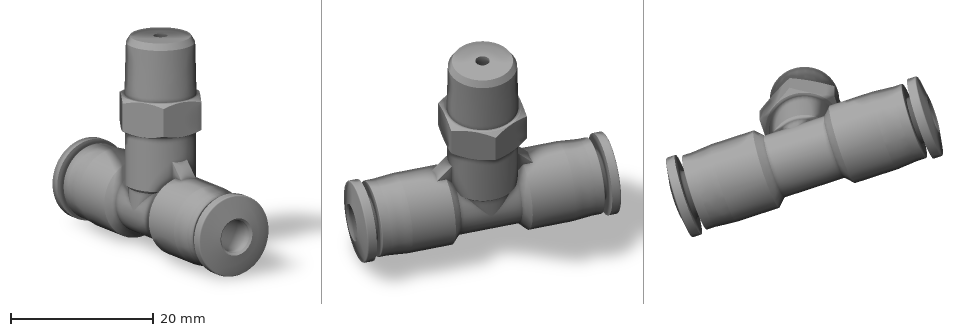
import cadquery as cq
import math


half_length = 19.2
flange_rim_x = 18.6
flange_back_x = 17.28
body_end_x = 16.35
taper_start_x = 15.0
taper_end_x = 12.0
shoulder_x = 5.65

flange_radius = 11.8 / 2
neck_radius = 6.75 / 2
body_end_radius = 11.0 / 2
body_radius = 11.5 / 2
waist_radius = 4.57
flange_rim_fillet = 0.2
neck_fillet = 0.35
body_end_fillet = 0.1

tube_bore_radius = 4.75 / 2
mouth_chamfer = 0.3
tube_bore_depth = 7.68
passage_radius = 2.0 / 2

stem_radius = 10.0 / 2
stem_bottom_z = 3.5
hex_bottom_z = 11.45
hex_top_z = 16.55
branch_top_z = 25.0
hex_across_corners = 12.83
hex_chamfer_radius = 5.5
hex_chamfer_angle = 30.0
thread_root_radius = 5.05
thread_tip_radius = 4.88
thread_top_radius = 4.3
thread_chamfer_height = 0.92

gusset_width = 2.45
gusset_corner = 12.67


def revolve_about_x(profile):
    return profile.close().revolve(360, (0, 0, 0), (1, 0, 0))


def revolve_about_z(profile):
    return profile.close().revolve(360, (0, 0, 0), (0, 1, 0))


def mirrored_in_x(half):
    return half.union(half.mirror("YZ"))


def run_half():
    """Solid of the +X half of the run, with its body, neck and release collar."""
    mouth_radius = tube_bore_radius + mouth_chamfer
    waist_end_x = shoulder_x - (body_radius - waist_radius)
    diagonal = math.sqrt(0.5)
    fillet_mid = neck_fillet * (1 - diagonal)
    end_mid = body_end_fillet * (1 - diagonal)
    outline = (
        cq.Workplane("XZ")
        .lineTo(0, waist_radius)
        .lineTo(waist_end_x, waist_radius)
        .lineTo(shoulder_x, body_radius)
        .lineTo(taper_end_x, body_radius)
        .lineTo(taper_start_x, body_end_radius)
        .lineTo(body_end_x - body_end_fillet, body_end_radius)
        .threePointArc(
            (body_end_x - end_mid, body_end_radius - end_mid),
            (body_end_x, body_end_radius - body_end_fillet),
        )
        .lineTo(body_end_x, neck_radius)
        .lineTo(flange_back_x - neck_fillet, neck_radius)
        .threePointArc(
            (flange_back_x - fillet_mid, neck_radius + fillet_mid),
            (flange_back_x, neck_radius + neck_fillet),
        )
        .lineTo(flange_back_x, flange_radius)
        .lineTo(flange_rim_x, flange_radius)
        .lineTo(half_length, mouth_radius)
        .lineTo(half_length, 0)
    )
    largest_circles = cq.selectors.RadiusNthSelector(-1)
    return revolve_about_x(outline).edges(largest_circles).edges(">X").fillet(flange_rim_fillet)


def tube_bore_half():
    """Stepped tube socket at the +X end, with a chamfered mouth."""
    outline = (
        cq.Workplane("XZ")
        .moveTo(half_length - tube_bore_depth, 0)
        .lineTo(half_length - tube_bore_depth, tube_bore_radius)
        .lineTo(half_length - mouth_chamfer, tube_bore_radius)
        .lineTo(half_length, tube_bore_radius + mouth_chamfer)
        .lineTo(half_length, 0)
    )
    return revolve_about_x(outline)


def branch():
    """Round stem, reaching the run axis at the waist radius, and tapered thread."""
    outline = (
        cq.Workplane("XZ")
        .lineTo(waist_radius, 0)
        .lineTo(waist_radius, stem_bottom_z - (stem_radius - waist_radius))
        .lineTo(stem_radius, stem_bottom_z)
        .lineTo(stem_radius, hex_top_z)
        .lineTo(thread_root_radius, hex_top_z)
        .lineTo(thread_tip_radius, branch_top_z - thread_chamfer_height)
        .lineTo(thread_top_radius, branch_top_z)
        .lineTo(0, branch_top_z)
    )
    return revolve_about_z(outline)


def hexagon():
    """Hexagon with corners on the Y axis, chamfered by a cone on both faces."""
    corner_radius = hex_across_corners / 2
    chamfer_drop = (corner_radius - hex_chamfer_radius) * math.tan(math.radians(hex_chamfer_angle))
    prism = (
        cq.Workplane("XY", origin=(0, 0, hex_bottom_z))
        .transformed(rotate=(0, 0, 90))
        .polygon(6, hex_across_corners)
        .extrude(hex_top_z - hex_bottom_z)
    )
    envelope = (
        cq.Workplane("XZ")
        .moveTo(0, hex_bottom_z)
        .lineTo(hex_chamfer_radius, hex_bottom_z)
        .lineTo(corner_radius, hex_bottom_z + chamfer_drop)
        .lineTo(corner_radius, hex_top_z - chamfer_drop)
        .lineTo(hex_chamfer_radius, hex_top_z)
        .lineTo(0, hex_top_z)
    )
    return prism.intersect(revolve_about_z(envelope))


def gussets():
    """Triangular web across the branch, showing as one gusset on each side."""
    gusset_base = gusset_corner - waist_radius
    return (
        cq.Workplane("XZ")
        .moveTo(-gusset_base, waist_radius)
        .lineTo(0, gusset_corner)
        .lineTo(gusset_base, waist_radius)
        .close()
        .extrude(gusset_width / 2, both=True)
    )


run_passage = cq.Workplane("YZ", origin=(-half_length, 0, 0)).circle(passage_radius).extrude(2 * half_length)
branch_passage = cq.Workplane("XY").circle(passage_radius).extrude(branch_top_z)

result = (
    mirrored_in_x(run_half())
    .union(branch())
    .union(hexagon())
    .union(gussets())
    .cut(mirrored_in_x(tube_bore_half()))
    .cut(run_passage)
    .cut(branch_passage)
)